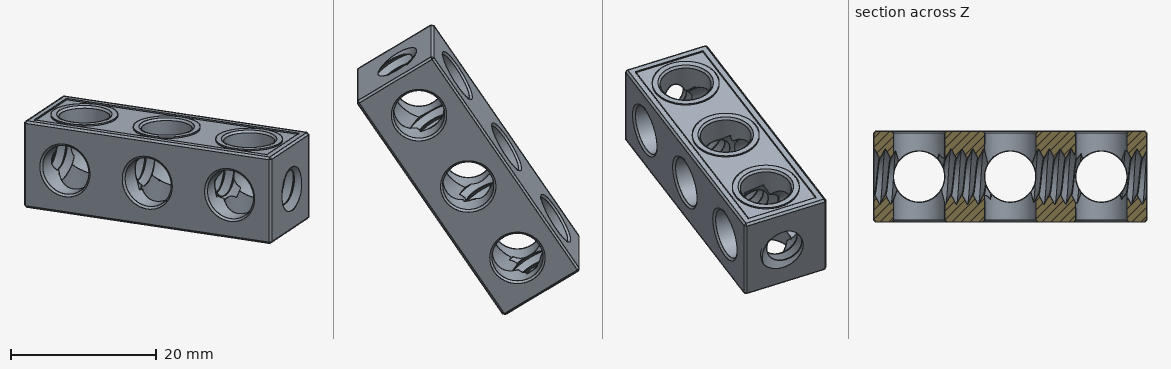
import cadquery as cq
CELL = 12.5
CELL_COUNT = 3
LENGTH = CELL * CELL_COUNT
EDGE_CHAMFER = 0.3

HOLE_RADIUS = 7.0 / 2
HOLE_CHAMFER = 0.3
HOLE_MOUTH_RADIUS = HOLE_RADIUS + HOLE_CHAMFER

RECESS_MARGIN = 1.1
RECESS_DEPTH = 0.2
RING_DIAMETER = 9.2

THREAD_PITCH = 1.5
THREAD_CREST_RADIUS = 2.5
THREAD_ROOT_RADIUS = 3.8
THREAD_CREST_FLAT = 0.1
THREAD_START_TURN = 62.0
GROOVE_OVERLAP = 0.04

CELL_CENTERS = [(i - (CELL_COUNT - 1) / 2) * CELL for i in range(CELL_COUNT)]


def make_body():
    """Square bar with every edge chamfered."""
    return cq.Workplane("XY").box(LENGTH, CELL, CELL).edges().chamfer(EDGE_CHAMFER)


def make_recess():
    """Rectangular plate with an opening for each ring, cut from the top face."""
    return (
        cq.Workplane("XY")
        .workplane(offset=CELL / 2 - RECESS_DEPTH)
        .rect(LENGTH - 2 * RECESS_MARGIN, CELL - 2 * RECESS_MARGIN)
        .pushPoints([(x, 0) for x in CELL_CENTERS])
        .circle(RING_DIAMETER / 2)
        .extrude(RECESS_DEPTH)
    )


def make_cross_hole():
    """Vertical through hole at the origin, widened by a chamfer at both mouths."""
    half = CELL / 2
    profile = [
        (0, -half),
        (HOLE_MOUTH_RADIUS, -half),
        (HOLE_RADIUS, -half + HOLE_CHAMFER),
        (HOLE_RADIUS, half - HOLE_CHAMFER),
        (HOLE_MOUTH_RADIUS, half),
        (0, half),
    ]
    return cq.Workplane("XZ").polyline(profile).close().revolve()


def make_thread():
    """Thread cutter along X: a core cylinder joined with a right-handed helical V groove.

    Both run one pitch past each end of the bar, so the groove breaks out at the ends.
    """
    length = LENGTH + 2 * THREAD_PITCH
    depth = THREAD_ROOT_RADIUS - THREAD_CREST_RADIUS
    inner_radius = THREAD_CREST_RADIUS - GROOVE_OVERLAP
    crest_half_width = (THREAD_PITCH - THREAD_CREST_FLAT) / 2
    inner_half_width = crest_half_width * (depth + GROOVE_OVERLAP) / depth
    profile = [
        (inner_radius, -inner_half_width),
        (THREAD_ROOT_RADIUS, 0),
        (inner_radius, inner_half_width),
    ]
    helix = cq.Wire.makeHelix(THREAD_PITCH, length, THREAD_CREST_RADIUS)
    groove = (
        cq.Workplane("XZ")
        .polyline(profile)
        .close()
        .sweep(cq.Workplane(helix), isFrenet=True)
    )
    core = cq.Workplane("XY").circle(THREAD_CREST_RADIUS).extrude(length)
    return (
        core.union(groove)
        .translate((0, 0, -length / 2))
        .rotate((0, 0, 0), (0, 0, 1), THREAD_START_TURN)
        .rotate((0, 0, 0), (0, 1, 0), 90)
    )


result = make_body().cut(make_recess()).cut(make_thread())

vertical_hole = make_cross_hole()
horizontal_hole = vertical_hole.rotate((0, 0, 0), (1, 0, 0), 90)
for center in CELL_CENTERS:
    result = result.cut(vertical_hole.translate((center, 0, 0)))
    result = result.cut(horizontal_hole.translate((center, 0, 0)))